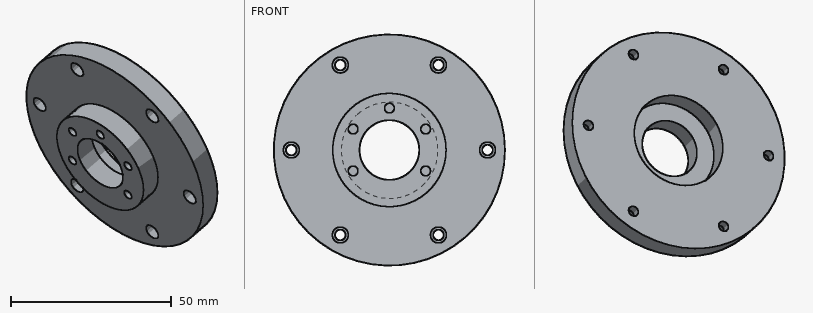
import cadquery as cq
import math

flange_diameter = 72
hub_diameter = 35.3
total_depth = 14.0
flange_thickness = total_depth / 2
bore_diameter = 18.5

recess_diameter = 30.0
recess_depth = 7.0

mount_count = 6
mount_circle_radius = 30.5
mount_diameter = 3.25
counterbore_diameter = 5.0
counterbore_depth = 3.5

hub_hole_diameter = 3.0
hub_hole_circle_radius = 13.0
hub_hole_depth = 6.0
hub_hole_angles = [-30, 30, 90, 150, 210]

hub_face = -total_depth / 2
flange_face = hub_face + total_depth - flange_thickness
back_face = hub_face + total_depth


def cylinders(diameter, start_y, end_y, centres=((0, 0),)):
    """Cylinders along +Y from start_y to end_y at the given (x, z) centres."""
    plane = cq.Workplane("XZ", origin=(0, start_y, 0))
    return plane.pushPoints(centres).circle(diameter / 2).extrude(start_y - end_y)


def on_circle(radius, angles):
    """Centres (x, z) on a circle, with angles in degrees from +X."""
    return [
        (radius * math.cos(math.radians(angle)), radius * math.sin(math.radians(angle)))
        for angle in angles
    ]


body = cylinders(flange_diameter, flange_face, back_face)
body = body.union(cylinders(hub_diameter, hub_face, back_face))
body = body.cut(cylinders(bore_diameter, hub_face, back_face))
body = body.cut(cylinders(recess_diameter, back_face - recess_depth, back_face))

mount_angles = [i * 360 / mount_count for i in range(mount_count)]
mount_centres = on_circle(mount_circle_radius, mount_angles)
body = body.cut(cylinders(mount_diameter, flange_face, back_face, mount_centres))
body = body.cut(
    cylinders(counterbore_diameter, flange_face, flange_face + counterbore_depth, mount_centres)
)

hub_hole_centres = on_circle(hub_hole_circle_radius, hub_hole_angles)
result = body.cut(
    cylinders(hub_hole_diameter, hub_face, hub_face + hub_hole_depth, hub_hole_centres)
)